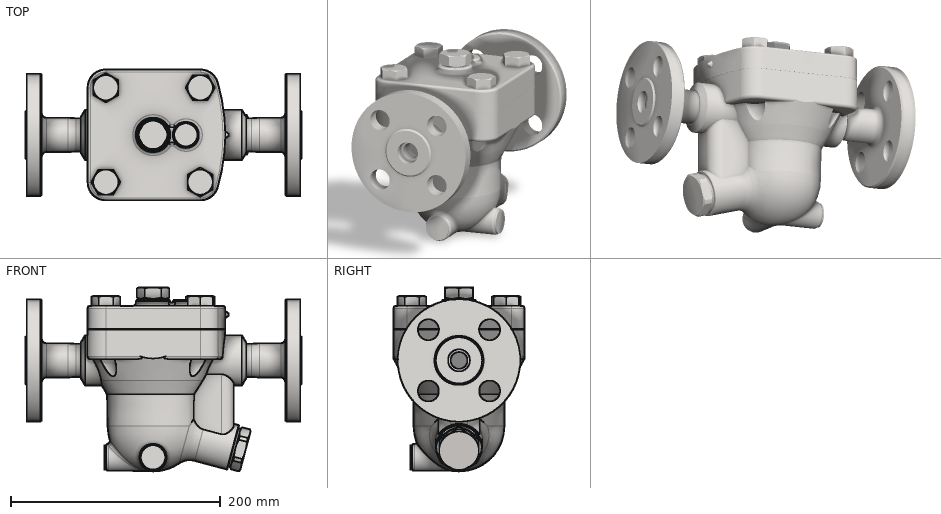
import cadquery as cq
import math


pick_margin = 0.1

hex_chamfer_angle = 30.0
hex_flat_turn = 30.0

half_width = 62.5
corner_radius = 17.5
bolt_offset = half_width - corner_radius
cover_bow_reach = 69.0
body_bow_reach = 67.8
body_bottom_z = 1.0
gasket_bottom_z = 29.4
gasket_height = 0.8
gasket_inset = 0.3
cover_bottom_z = gasket_bottom_z + gasket_height
cover_top_z = 52.0
cover_fillet = 2.5
body_fillet = 3.0

bolt_flats = 24.0
bolt_head_height = 9.5

boss_top_z = 58.0
center_boss_radius = 16.5
side_boss_radius = 12.5
side_boss_x = 31.3
boss_chamfer = 1.5
boss_base_fillet = 3.0
web_width = 14.4
web_height = 3.3
plug_flats = 27.0
plug_top_z = 69.7
plug_hex_height = 10.9
plug_collar_radius = 13.0

pip_radius = 3.5
pip_tip_radius = 0.9
pip_z = 43.6
pip_tip_x = 72.3

sphere_radius = 43.5
sphere_z = -62.5
bowl_neck_radius = 44.0
bowl_neck_z = -32.4
bowl_ring_z = -19.0
bowl_ring_radius = 51.6
bowl_top_z = 4.0
bowl_top_radius = 63.7
bolt_pocket_radius = 10.0
bolt_pocket_depth = 25.0

face_to_face = 264.0
pipe_center_x = 10.0
flange_diameter = 117.0
flange_thickness = 14.5
flange_chamfer = 1.5
raised_face_diameter = 44.0
raised_face_base_diameter = 47.0
raised_face_height = 1.6
flange_hole_diameter = 20.0
flange_hole_circle = 82.6
flange_hole_count = 4
flange_first_hole_angle = 45.0
pipe_diameter = 33.0
neck_fillet = 4.0
reduced_pipe_outer_end = 91.2
reduced_pipe_inner_end = 83.6
reduced_pipe_diameter = 32.0
nozzle_diameter = 48.0
nozzle_end = 74.8
nozzle_cone_end = 79.1
nozzle_cone_diameter = 34.0
socket_diameter = 21.0
socket_depth = 8.0
bore_diameter = 16.0
bore_depth = 25.0

riser_half_width = 20.0
riser_outer_x = 77.2
riser_corner_radius = 12.0
riser_bottom_z = -82.0

strainer_tilt = 15.0
strainer_radius = 22.0
strainer_blend_radius = 18.0
strainer_length = 79.2
strainer_chamfer = 0.5
cap_collar_radius = 19.0
cap_hex_start = 81.4
cap_end = 91.3
cap_flats = 38.0
cap_turned_radius = 20.8

drain_z = -92.5
drain_radius = 13.0
drain_boss_reach = 44.6
drain_edge_radius = 2.0
drain_plug_radius = 11.6
drain_plug_reach = 46.4
drain_fillet = 3.0


def cylinder(radius, bottom_z, top_z, x=0.0, y=0.0):
    """Vertical cylinder between two heights."""
    return cq.Workplane("XY", origin=(x, y, bottom_z)).circle(radius).extrude(top_z - bottom_z)


def block_outline(bow_reach, z, inset=0.0):
    """Square with rounded corners whose +X side is an arc tangent to its two corners."""
    side = half_width - inset
    radius = corner_radius - inset
    bow = bow_reach - inset - bolt_offset
    bow_radius = (bow**2 + bolt_offset**2 - radius**2) / (2 * (bow - radius))
    bow_angle = math.asin(bolt_offset / (bow_radius - radius))
    tangent_x = bolt_offset + radius * math.cos(bow_angle)
    tangent_y = bolt_offset + radius * math.sin(bow_angle)
    corner_angle = (bow_angle + math.pi / 2) / 2
    right_x = bolt_offset + radius * math.cos(corner_angle)
    right_y = bolt_offset + radius * math.sin(corner_angle)
    left = bolt_offset + radius * math.cos(math.pi / 4)
    return (
        cq.Workplane("XY", origin=(0, 0, z))
        .moveTo(-bolt_offset, -side)
        .lineTo(bolt_offset, -side)
        .threePointArc((right_x, -right_y), (tangent_x, -tangent_y))
        .threePointArc((bow_reach - inset, 0), (tangent_x, tangent_y))
        .threePointArc((right_x, right_y), (bolt_offset, side))
        .lineTo(-bolt_offset, side)
        .threePointArc((-left, left), (-side, bolt_offset))
        .lineTo(-side, -bolt_offset)
        .threePointArc((-left, -left), (-bolt_offset, -side))
        .close()
    )


def ruled_loft(lower, upper):
    """Straight-sided solid between two closed outlines."""
    return cq.Workplane(cq.Solid.makeLoft([lower.wire().val(), upper.wire().val()], True))


def hex_head(flats, height, turn=0.0, both_ends=False, turned_radius=None):
    """Hexagon from Z = 0 with its ends turned to a chamfer, first corner on +X.

    A turned radius smaller than the corners also takes the tips off the corners.
    """
    tip = flats / math.sqrt(3)
    corner = turned_radius or tip
    edge = flats / 2
    drop = (corner - edge) * math.tan(math.radians(hex_chamfer_angle))
    prism = cq.Workplane("XY").polygon(6, 2 * tip).extrude(height)
    prism = prism.rotate((0, 0, 0), (0, 0, 1), turn)
    profile = cq.Workplane("XZ")
    if both_ends:
        profile = profile.lineTo(edge, 0).lineTo(corner, drop)
    else:
        profile = profile.lineTo(corner, 0)
    profile = profile.lineTo(corner, height - drop).lineTo(edge, height).lineTo(0, height).close()
    return prism.intersect(profile.revolve(360, (0, 0, 0), (0, 1, 0)))


def cover():
    """Cover with a centre boss and a side boss joined by a web."""
    block = block_outline(cover_bow_reach, cover_bottom_z).extrude(cover_top_z - cover_bottom_z)
    block = block.faces(">Z").edges().fillet(cover_fillet)
    web = (
        cq.Workplane("XY", origin=(side_boss_x / 2, 0, cover_top_z))
        .rect(side_boss_x, web_width)
        .extrude(web_height)
    )
    bosses = web
    for x, radius in ((0.0, center_boss_radius), (side_boss_x, side_boss_radius)):
        boss = cylinder(radius, cover_top_z, boss_top_z, x)
        bosses = bosses.union(boss.faces(">Z").edges().chamfer(boss_chamfer))
    block = block.union(bosses)
    reach = center_boss_radius + side_boss_x + side_boss_radius
    base = cq.selectors.BoxSelector(
        (-reach, -half_width / 2, cover_top_z - pick_margin),
        (reach, half_width / 2, cover_top_z + pick_margin),
    )
    return block.edges(base).fillet(boss_base_fillet)


def gasket():
    """Gasket set slightly in from the cover and body sides."""
    return block_outline(cover_bow_reach, gasket_bottom_z, gasket_inset).extrude(gasket_height)


def cover_bolts():
    """Bolt heads, alternating between a corner and a flat toward +X."""
    bolts = cq.Workplane("XY")
    for side_x in (-1, 1):
        for side_y in (-1, 1):
            turn = hex_flat_turn if side_x != side_y else 0.0
            head = hex_head(bolt_flats, bolt_head_height, turn)
            bolts = bolts.union(head.translate((side_x * bolt_offset, side_y * bolt_offset, cover_top_z)))
    return bolts


def top_plug():
    """Round collar under a hexagon head."""
    hex_bottom_z = plug_top_z - plug_hex_height
    collar = cylinder(plug_collar_radius, cover_top_z, hex_bottom_z)
    head = hex_head(plug_flats, plug_hex_height, both_ends=True)
    return collar.union(head.translate((0, 0, hex_bottom_z)))


def pip():
    """Blunt pip: a short cylinder in the bowed face with a cone in front of it."""
    length = 2 * pip_radius
    base_x = pip_tip_x - length
    profile = (
        cq.Workplane("XY", origin=(base_x, 0, pip_z))
        .lineTo(0, pip_radius)
        .lineTo(pip_radius, pip_radius)
        .lineTo(length, pip_tip_radius)
        .lineTo(length, 0)
        .close()
    )
    return profile.revolve(360, (0, 0, 0), (1, 0, 0))


def body_block():
    """Body block whose bowed side tapers in toward the bottom."""
    lower = block_outline(body_bow_reach, body_bottom_z)
    upper = block_outline(cover_bow_reach, gasket_bottom_z)
    return ruled_loft(lower, upper).faces("<Z").edges().fillet(body_fillet)


def bowl_flare():
    """Two cones widening up into the body block, with pockets below the cover bolts."""
    flare = (
        cq.Workplane("XZ")
        .moveTo(0, bowl_neck_z)
        .lineTo(bowl_neck_radius, bowl_neck_z)
        .lineTo(bowl_ring_radius, bowl_ring_z)
        .lineTo(bowl_top_radius, bowl_top_z)
        .lineTo(0, bowl_top_z)
        .close()
        .revolve(360, (0, 0, 0), (0, 1, 0))
    )
    height = bowl_top_z - bowl_neck_z
    flare = flare.intersect(block_outline(body_bow_reach, bowl_neck_z).extrude(height))
    for x in (-bolt_offset, bolt_offset):
        for y in (-bolt_offset, bolt_offset):
            pocket = cylinder(bolt_pocket_radius, body_bottom_z - bolt_pocket_depth, bowl_top_z, x, y)
            flare = flare.cut(pocket)
    return flare


def bowl_cup():
    """Slightly drafted cup ending in a half sphere."""
    arc_share = sphere_radius * math.sqrt(0.5)
    return (
        cq.Workplane("XZ")
        .moveTo(0, bowl_neck_z)
        .lineTo(bowl_neck_radius, bowl_neck_z)
        .lineTo(sphere_radius, sphere_z)
        .threePointArc((arc_share, sphere_z - arc_share), (0, sphere_z - sphere_radius))
        .close()
        .revolve(360, (0, 0, 0), (0, 1, 0))
    )


def drain_boss():
    """Horizontal boss toward -X."""
    boss = cq.Workplane("YZ", origin=(0, 0, drain_z)).circle(drain_radius).extrude(-drain_boss_reach)
    return boss.faces("<X").edges().fillet(drain_edge_radius)


def drain_plug():
    """Round plug standing slightly out of the drain boss."""
    return cq.Workplane("YZ", origin=(0, 0, drain_z)).circle(drain_plug_radius).extrude(-drain_plug_reach)


def bowl():
    """Bowl with its flare and two drain bosses, the -X one blended into the cup."""
    cup = bowl_cup().union(drain_boss())
    blend = cq.selectors.BoxSelector(
        (-sphere_radius + drain_edge_radius, -2 * drain_radius, drain_z - drain_radius + drain_edge_radius),
        (-drain_edge_radius, 2 * drain_radius, sphere_z),
    )
    cup = cup.edges(blend).fillet(drain_fillet)
    side_boss = drain_boss().union(drain_plug()).rotate((0, 0, 0), (0, 0, 1), 90)
    return cup.union(drain_plug()).union(side_boss).union(bowl_flare())


def strainer():
    """Boss blended into the sphere and closed by a hexagon cap, tilted down toward +X."""
    blend_center_r = strainer_radius + strainer_blend_radius
    center_distance = sphere_radius + strainer_blend_radius
    blend_center_u = math.sqrt(center_distance**2 - blend_center_r**2)
    sphere_share = sphere_radius / center_distance
    contact_r = blend_center_r * sphere_share
    contact_u = blend_center_u * sphere_share
    half_angle = math.acos(blend_center_r / center_distance) / 2
    mid_r = blend_center_r - strainer_blend_radius * math.cos(half_angle)
    mid_u = blend_center_u - strainer_blend_radius * math.sin(half_angle)
    boss = (
        cq.Workplane("XZ")
        .lineTo(contact_r, contact_u)
        .threePointArc((mid_r, mid_u), (strainer_radius, blend_center_u))
        .lineTo(strainer_radius, strainer_length - strainer_chamfer)
        .lineTo(strainer_radius - strainer_chamfer, strainer_length)
        .lineTo(cap_collar_radius, strainer_length)
        .lineTo(cap_collar_radius, cap_hex_start)
        .lineTo(0, cap_hex_start)
        .close()
        .revolve(360, (0, 0, 0), (0, 1, 0))
    )
    cap = hex_head(cap_flats, cap_end - cap_hex_start, both_ends=True, turned_radius=cap_turned_radius)
    whole = boss.union(cap.translate((0, 0, cap_hex_start)))
    return whole.rotate((0, 0, 0), (0, 1, 0), 90 + strainer_tilt).translate((0, 0, sphere_z))


def riser():
    """Upright passage between the outlet nozzle and the strainer boss."""
    slab = (
        cq.Workplane("XY", origin=(riser_outer_x / 2, 0, riser_bottom_z))
        .rect(riser_outer_x, 2 * riser_half_width)
        .extrude(-riser_bottom_z)
    )
    return slab.edges("|Z and >X").fillet(riser_corner_radius)


def pipe_profile():
    """Half section of one connection, from the middle of the part to its raised face."""
    face = face_to_face / 2
    flange_front = face - raised_face_height
    flange_back = flange_front - flange_thickness
    pipe_radius = pipe_diameter / 2
    flange_radius = flange_diameter / 2
    fillet_share = neck_fillet * (1 - math.sqrt(0.5))
    return (
        cq.Workplane("XY")
        .lineTo(0, nozzle_diameter / 2)
        .lineTo(nozzle_end, nozzle_diameter / 2)
        .lineTo(nozzle_cone_end, nozzle_cone_diameter / 2)
        .lineTo(nozzle_cone_end, reduced_pipe_diameter / 2)
        .lineTo(reduced_pipe_inner_end, reduced_pipe_diameter / 2)
        .lineTo(reduced_pipe_outer_end, pipe_radius)
        .lineTo(flange_back - neck_fillet, pipe_radius)
        .threePointArc(
            (flange_back - fillet_share, pipe_radius + fillet_share),
            (flange_back, pipe_radius + neck_fillet),
        )
        .lineTo(flange_back, flange_radius - flange_chamfer)
        .lineTo(flange_back + flange_chamfer, flange_radius)
        .lineTo(flange_front, flange_radius)
        .lineTo(flange_front, raised_face_base_diameter / 2)
        .lineTo(face, raised_face_diameter / 2)
        .lineTo(face, 0)
        .close()
    )


def face_drill(diameter, depth, y=0.0, z=0.0):
    """Cylinder going into the part from the raised face."""
    start = face_to_face / 2
    return cq.Workplane("YZ", origin=(start, y, z)).circle(diameter / 2).extrude(-depth)


def at_both_pipe_ends(one_end):
    """One end solid placed at both ends of the pipe run."""
    return one_end.union(one_end.mirror("YZ")).translate((pipe_center_x, 0, 0))


def pipe_run():
    """Nozzles, pipe stubs and flanges along the pipe axis."""
    return at_both_pipe_ends(pipe_profile().revolve(360, (0, 0, 0), (1, 0, 0)))


def pipe_holes():
    """Stepped bores and flange bolt holes at both ends."""
    holes = face_drill(socket_diameter, socket_depth).union(face_drill(bore_diameter, bore_depth))
    flange_depth = raised_face_height + flange_thickness
    for index in range(flange_hole_count):
        angle = math.radians(flange_first_hole_angle + index * 360 / flange_hole_count)
        y = flange_hole_circle / 2 * math.cos(angle)
        z = flange_hole_circle / 2 * math.sin(angle)
        holes = holes.union(face_drill(flange_hole_diameter, flange_depth, y, z))
    return at_both_pipe_ends(holes)


result = (
    bowl()
    .union(riser())
    .union(strainer())
    .union(pipe_run())
    .union(body_block())
    .union(gasket())
    .union(cover())
    .union(cover_bolts())
    .union(top_plug())
    .union(pip())
    .cut(pipe_holes())
)